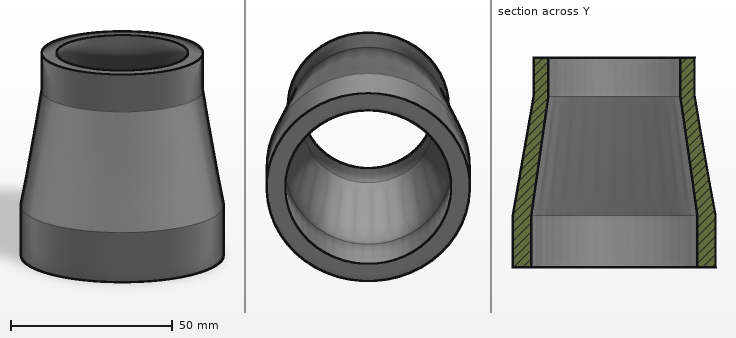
import cadquery as cq

large_diameter = 63.0
large_wall = 5.8
small_diameter = 50.0
small_wall = 4.6
total_height = 65.0
large_collar_height = 16.0
small_collar_height = 12.0

taper_end = total_height - small_collar_height


def revolved_reducer(large_radius, small_radius):
    """Solid of revolution: large cylinder, cone, small cylinder."""
    return (
        cq.Workplane("XZ")
        .moveTo(0, 0)
        .lineTo(large_radius, 0)
        .lineTo(large_radius, large_collar_height)
        .lineTo(small_radius, taper_end)
        .lineTo(small_radius, total_height)
        .lineTo(0, total_height)
        .close()
        .revolve(360, (0, 0, 0), (0, 1, 0))
    )


outer_body = revolved_reducer(large_diameter / 2, small_diameter / 2)
bore = revolved_reducer(large_diameter / 2 - large_wall, small_diameter / 2 - small_wall)

result = outer_body.cut(bore)